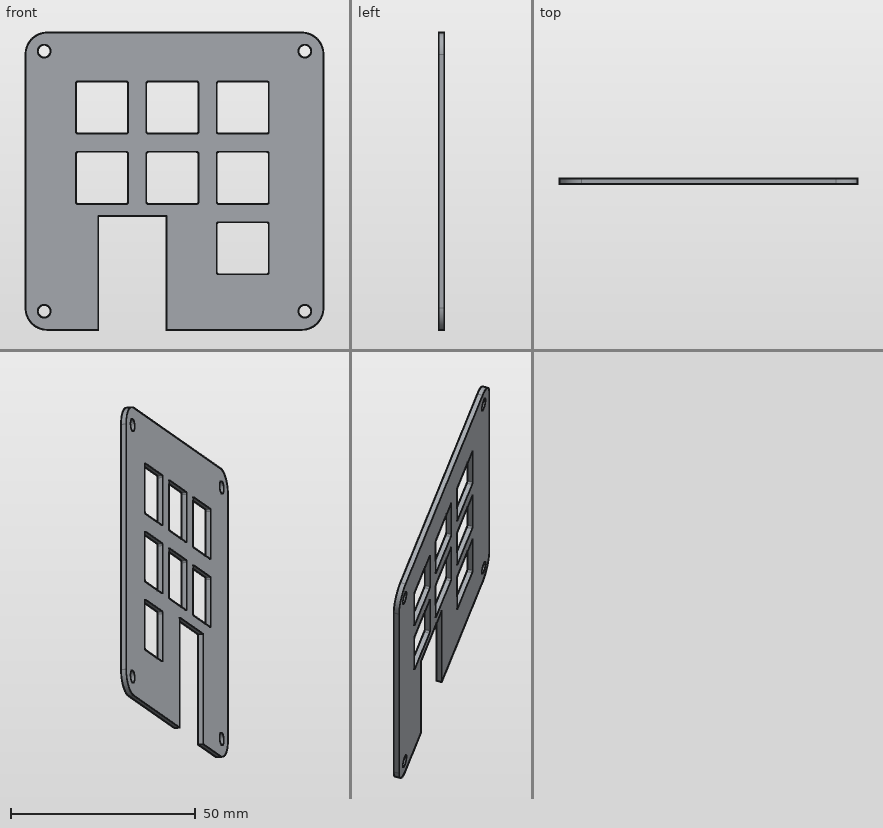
import cadquery as cq

plate_width = 80.7
plate_height = 80.5
plate_thickness = 1.5
plate_corner_radius = 6.0

screw_hole_diameter = 3.4
screw_hole_inset = 5.1

key_size = 14.05
key_corner_radius = 0.5
key_pitch = 19.05
key_grid_x = -0.6
key_grid_z = 0.9
key_cells = [
    (-1, 1), (0, 1), (1, 1),
    (-1, 0), (0, 0), (1, 0),
    (1, -1),
]

notch_width = 18.4
notch_depth = 30.8
notch_center_x = -11.4


def rounded_block(width, height, radius):
    """Block through the plate thickness with its four corners rounded."""
    block = cq.Workplane("XZ").rect(width, height).extrude(-plate_thickness)
    return block.edges("|Y").fillet(radius)


def screw_holes():
    span_x = plate_width - 2 * screw_hole_inset
    span_z = plate_height - 2 * screw_hole_inset
    return (
        cq.Workplane("XZ")
        .rect(span_x, span_z, forConstruction=True)
        .vertices()
        .circle(screw_hole_diameter / 2)
        .extrude(-plate_thickness)
    )


def key_opening(column, row):
    x = key_grid_x + column * key_pitch
    z = key_grid_z + row * key_pitch
    return rounded_block(key_size, key_size, key_corner_radius).translate((x, 0, z))


def notch():
    center_z = (notch_depth - plate_height) / 2
    return (
        cq.Workplane("XZ")
        .center(notch_center_x, center_z)
        .rect(notch_width, notch_depth)
        .extrude(-plate_thickness)
    )


result = rounded_block(plate_width, plate_height, plate_corner_radius)
result = result.cut(screw_holes())
for column, row in key_cells:
    result = result.cut(key_opening(column, row))
result = result.cut(notch())